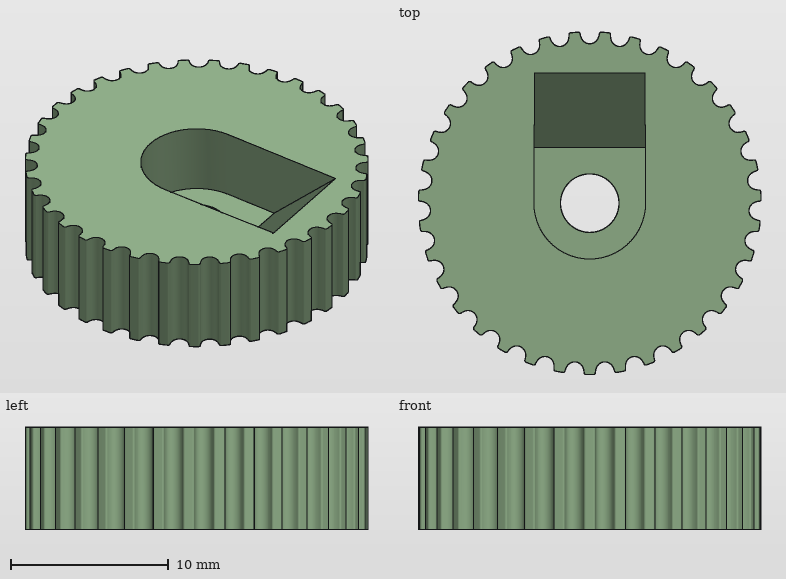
import cadquery as cq
import math

outer_diameter = 21.77
thickness = 6.5
tooth_count = 35

groove_depth = 0.76
groove_bottom_radius = 0.57
flank_radius = 1.0
lip_radius = 0.13

bore_diameter = 3.7
pocket_radius = 3.55
pocket_end_y = 8.27
pocket_end_half_width = 3.5
ramp_foot_y = pocket_radius
pocket_depth = pocket_end_y - ramp_foot_y

outer_radius = outer_diameter / 2


def point_toward(start, target, distance):
    """Point at the given distance from start along the line to target."""
    dx = target[0] - start[0]
    dy = target[1] - start[1]
    scale = distance / math.hypot(dx, dy)
    return (start[0] + scale * dx, start[1] + scale * dy)


def mirrored(point):
    return (-point[0], point[1])


def arc_middle(center, radius, start, end):
    """Middle of the short arc from start to end."""
    chord_middle = ((start[0] + end[0]) / 2, (start[1] + end[1]) / 2)
    return point_toward(center, chord_middle, radius)


def lip_center(flank_center):
    """Centre of the +X lip, which touches the outer circle from inside and the flank from behind."""
    axis_to_lip = outer_radius - lip_radius
    flank_to_lip = flank_radius + lip_radius
    axis_to_flank = math.hypot(*flank_center)
    cosine = (axis_to_lip**2 + axis_to_flank**2 - flank_to_lip**2) / (2 * axis_to_lip * axis_to_flank)
    angle = math.atan2(flank_center[1], flank_center[0]) - math.acos(cosine)
    return (axis_to_lip * math.cos(angle), axis_to_lip * math.sin(angle))


def groove_cutter():
    """Prism that cuts one groove, centred on the +Y axis."""
    bottom = (0, outer_radius - groove_depth)
    bottom_center = (0, bottom[1] + groove_bottom_radius)
    center_spacing = flank_radius - groove_bottom_radius
    flank_offset = math.sqrt(center_spacing**2 - (groove_depth - groove_bottom_radius) ** 2)
    flank_center = (-flank_offset, outer_radius)
    lip = lip_center(flank_center)

    flank_start = point_toward(flank_center, bottom_center, flank_radius)
    flank_end = point_toward(flank_center, lip, flank_radius)
    lip_end = point_toward((0, 0), lip, outer_radius)
    flank_middle = arc_middle(flank_center, flank_radius, flank_start, flank_end)
    lip_middle = arc_middle(lip, lip_radius, flank_end, lip_end)
    clear_corner = (lip_end[0], outer_radius + lip_radius)
    return (
        cq.Workplane("XY")
        .moveTo(*mirrored(clear_corner))
        .lineTo(*mirrored(lip_end))
        .threePointArc(mirrored(lip_middle), mirrored(flank_end))
        .threePointArc(mirrored(flank_middle), mirrored(flank_start))
        .threePointArc(bottom, flank_start)
        .threePointArc(flank_middle, flank_end)
        .threePointArc(lip_middle, lip_end)
        .lineTo(*clear_corner)
        .close()
        .extrude(thickness)
    )


def pocket_cutter():
    """Tapered slot with a round end on the pulley axis, sloped up to the top face at its +Y end."""
    floor_z = thickness - pocket_depth
    corner_angle = math.atan2(pocket_end_y, pocket_end_half_width)
    corner_distance = math.hypot(pocket_end_half_width, pocket_end_y)
    tangent_angle = corner_angle - math.acos(pocket_radius / corner_distance)
    tangent_x = pocket_radius * math.cos(tangent_angle)
    tangent_y = pocket_radius * math.sin(tangent_angle)
    slot = (
        cq.Workplane("XY", origin=(0, 0, floor_z))
        .moveTo(-pocket_end_half_width, pocket_end_y)
        .lineTo(-tangent_x, tangent_y)
        .threePointArc((0, -pocket_radius), (tangent_x, tangent_y))
        .lineTo(pocket_end_half_width, pocket_end_y)
        .close()
        .extrude(pocket_depth)
    )
    ramp = (
        cq.Workplane("YZ")
        .moveTo(ramp_foot_y, floor_z)
        .lineTo(pocket_end_y, floor_z)
        .lineTo(pocket_end_y, thickness)
        .close()
        .extrude(pocket_radius, both=True)
    )
    return slot.cut(ramp)


result = cq.Workplane("XY").circle(outer_radius).extrude(thickness)

groove = groove_cutter()
for index in range(tooth_count):
    result = result.cut(groove.rotate((0, 0, 0), (0, 0, 1), index * 360 / tooth_count))

bore = cq.Workplane("XY").circle(bore_diameter / 2).extrude(thickness)
result = result.cut(bore).cut(pocket_cutter())